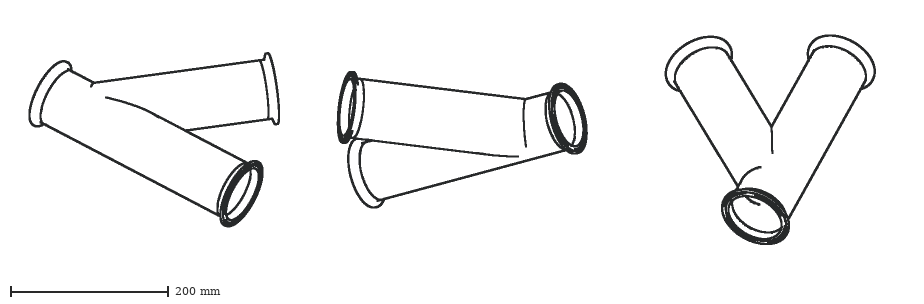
import cadquery as cq
import math

BORE_RADIUS = 36.5
PIPE_RADIUS = 38.05

RUN_LENGTH = 298.5
BRANCH_LENGTH = 238.2
BRANCH_ANGLE = 45.0
RUN_START_X = -RUN_LENGTH / 2
JUNCTION_X = RUN_LENGTH / 2 - BRANCH_LENGTH

FERRULE_LENGTH = 12.5
RIM_RADIUS = 45.5
RIM_THICKNESS = 2.85
RIM_ROUNDING = 0.5
TAPER_ANGLE = 20.0
NECK_FILLET = 1.5

GROOVE_MID_RADIUS = 41.5
GROOVE_WIDTH = 2.7
GROOVE_DEPTH = 1.2
GROOVE_LIP_ROUNDING = 0.45

RUN_DIRECTION = cq.Vector(1, 0, 0)
BRANCH_DIRECTION = cq.Vector(
    math.cos(math.radians(BRANCH_ANGLE)), math.sin(math.radians(BRANCH_ANGLE)), 0
)
JUNCTION = cq.Vector(JUNCTION_X, 0, 0)
RUN_START = cq.Vector(RUN_START_X, 0, 0)
RUN_END = RUN_START + RUN_DIRECTION * RUN_LENGTH
BRANCH_END = JUNCTION + BRANCH_DIRECTION * BRANCH_LENGTH


def make_rod(start, direction, length, radius):
    """Solid round rod from a start point along a direction."""
    return cq.Workplane(cq.Plane(start, normal=direction)).circle(radius).extrude(length)


def make_lateral_tee():
    """Run and slanting branch joined into one pipe, shortened to leave room for the ferrules."""
    run_start = RUN_START + RUN_DIRECTION * FERRULE_LENGTH
    run_length = RUN_LENGTH - 2 * FERRULE_LENGTH
    branch_length = BRANCH_LENGTH - FERRULE_LENGTH

    def make_rods(radius):
        run = make_rod(run_start, RUN_DIRECTION, run_length, radius)
        branch = make_rod(JUNCTION, BRANCH_DIRECTION, branch_length, radius)
        return run.union(branch)

    return make_rods(PIPE_RADIUS).cut(make_rods(BORE_RADIUS))


def make_ferrule(face_center, inward):
    """Revolved clamp ferrule with its grooved face at face_center and its neck pointing inward."""
    taper_length = (RIM_RADIUS - PIPE_RADIUS) * math.tan(math.radians(TAPER_ANGLE))
    neck_start = RIM_THICKNESS + taper_length
    body = (
        cq.Workplane("XZ")
        .moveTo(BORE_RADIUS, 0)
        .lineTo(RIM_RADIUS, 0)
        .lineTo(RIM_RADIUS, RIM_THICKNESS)
        .lineTo(PIPE_RADIUS, neck_start)
        .lineTo(PIPE_RADIUS, FERRULE_LENGTH)
        .lineTo(BORE_RADIUS, FERRULE_LENGTH)
        .close()
        .revolve(360, (0, 0, 0), (0, 1, 0))
    )

    def on_circle(radius, height):
        """Select the circular edge of this radius at this distance from the face."""
        return body.edges("%CIRCLE").filter(
            lambda edge: math.isclose(edge.radius(), radius, abs_tol=0.0003)
            and math.isclose(edge.Center().z, height, abs_tol=0.0003)
        )

    body = on_circle(PIPE_RADIUS, neck_start).fillet(NECK_FILLET)
    body = on_circle(RIM_RADIUS, 0).fillet(RIM_ROUNDING)
    body = on_circle(RIM_RADIUS, RIM_THICKNESS).fillet(RIM_ROUNDING)

    groove_inner_radius = GROOVE_MID_RADIUS - GROOVE_WIDTH / 2
    groove_outer_radius = GROOVE_MID_RADIUS + GROOVE_WIDTH / 2
    groove = (
        cq.Workplane("XZ")
        .moveTo(groove_inner_radius, 0)
        .threePointArc((GROOVE_MID_RADIUS, GROOVE_DEPTH), (groove_outer_radius, 0))
        .close()
        .revolve(360, (0, 0, 0), (0, 1, 0))
    )
    body = body.cut(groove)
    for lip_radius in (groove_inner_radius, groove_outer_radius):
        body = on_circle(lip_radius, 0).fillet(GROOVE_LIP_ROUNDING)

    placement = cq.Plane(face_center, xDir=(0, 0, 1), normal=inward)
    return body.solids().val().moved(cq.Location(placement))


lateral_tee = make_lateral_tee()

ferrule_places = [
    (RUN_START, RUN_DIRECTION),
    (RUN_END, -RUN_DIRECTION),
    (BRANCH_END, -BRANCH_DIRECTION),
]
ferrules = [make_ferrule(face_center, inward) for face_center, inward in ferrule_places]

result = cq.Compound.makeCompound([lateral_tee.val(), *ferrules])